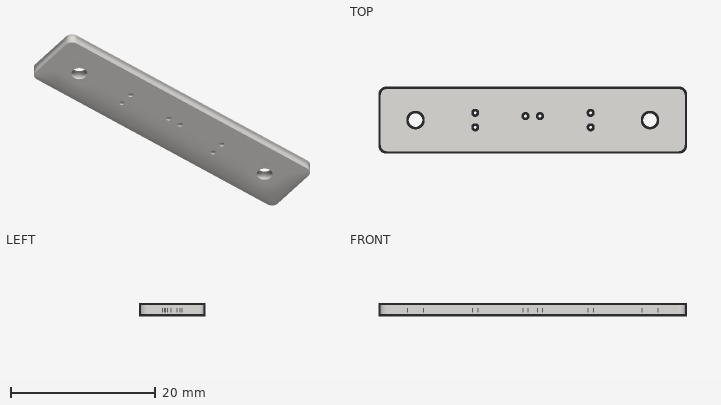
import math

import cadquery as cq

LENGTH = 42.5
WIDTH = 9.0
THICKNESS = 1.58
CORNER_RADIUS = 1.0
FLATS_PER_CORNER = 8

MOUNT_DIAMETER = 2.2
MOUNT_SPACING = 32.5

PIN_DIAMETER = 0.75
PIN_PITCH = 2.0
OUTER_PAIR_SPACING = 16.0
OUTER_PAIRS_X = 0.025
CENTER_PAIR_Y = 0.55


def corner_points(x_side, y_side, start_angle):
    """Points along one quarter-turn corner, counterclockwise from start_angle."""
    center_x = x_side * (LENGTH / 2 - CORNER_RADIUS)
    center_y = y_side * (WIDTH / 2 - CORNER_RADIUS)
    points = []
    for step in range(FLATS_PER_CORNER + 1):
        angle = start_angle + math.pi / 2 * step / FLATS_PER_CORNER
        x = center_x + CORNER_RADIUS * math.cos(angle)
        y = center_y + CORNER_RADIUS * math.sin(angle)
        points.append((x, y))
    return points


def make_board():
    """Flat plate with faceted round corners, standing on Z = 0."""
    corner_sides = [(1, 1), (-1, 1), (-1, -1), (1, -1)]
    outline = []
    for quarter, (x_side, y_side) in enumerate(corner_sides):
        outline += corner_points(x_side, y_side, quarter * math.pi / 2)
    return cq.Workplane("XY").polyline(outline).close().extrude(THICKNESS)


def through_holes(points, diameter):
    """Cylinders through the full thickness at the given XY points."""
    return cq.Workplane("XY").pushPoints(points).circle(diameter / 2).extrude(THICKNESS)


mount_points = [(side * MOUNT_SPACING / 2, 0) for side in (-1, 1)]

outer_pin_points = [
    (OUTER_PAIRS_X + side * OUTER_PAIR_SPACING / 2, row * PIN_PITCH / 2)
    for side in (-1, 1)
    for row in (-1, 1)
]
center_pin_points = [(side * PIN_PITCH / 2, CENTER_PAIR_Y) for side in (-1, 1)]

result = make_board()
result = result.cut(through_holes(mount_points, MOUNT_DIAMETER))
result = result.cut(through_holes(outer_pin_points + center_pin_points, PIN_DIAMETER))